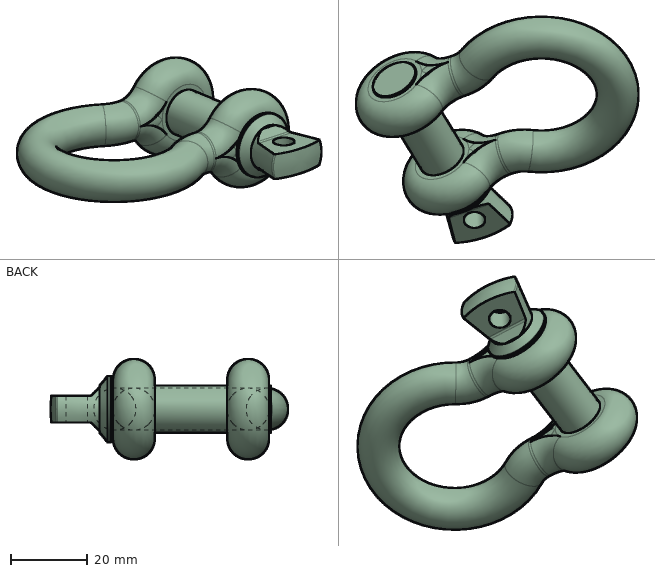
import cadquery as cq
import math

BAR_RADIUS = 5.5
BOW_OUTER_RADIUS = 25.55
EYE_OUTER_RADIUS = 13.24
OVERALL_LENGTH = 71.75
LEG_X = 15.0
LEG_END_Y = 16.9
FAIRING_RADIUS = 5.95

PIN_RADIUS = 6.25
PIN_LEFT_PROTRUSION = 0.4
PIN_EDGE_CHAMFER = 0.15
COLLAR_RADIUS = 8.75
COLLAR_START_X = 20.95
COLLAR_EDGE = 0.2
COLLAR_THICKNESS = 1.15

NECK_RADIUS = 6.25
NECK_X = 24.0
GRIP_RADIUS = 8.7
GRIP_CORNER_X = 35.3
GRIP_TIP_X = 36.95
GRIP_EDGE_FILLET = 0.35
GRIP_HALF_THICKNESS = 3.5
GRIP_FLAT_START_X = 26.25
RAMP_BLEND_RADIUS = 0.85
RELIEF_CLEARANCE = 0.7
GRIP_HOLE_X = 30.0
GRIP_HOLE_RADIUS = 2.8

BOW_RADIUS = BOW_OUTER_RADIUS - BAR_RADIUS
EYE_CENTRE_RADIUS = EYE_OUTER_RADIUS - BAR_RADIUS
EYE_Y = OVERALL_LENGTH - BOW_OUTER_RADIUS - EYE_OUTER_RADIUS
BEND_RADIUS = (LEG_X**2 + LEG_END_Y**2 - BOW_RADIUS**2) / (2 * (BOW_RADIUS - LEG_X))
BEND_X = LEG_X + BEND_RADIUS
BEND_ANGLE = math.atan2(LEG_END_Y, BEND_X)


def make_bow():
    """Round bar: leg, outward bend, bow, bend and leg in one tangent path."""
    join_x = BOW_RADIUS * math.cos(BEND_ANGLE)
    join_y = BOW_RADIUS * math.sin(BEND_ANGLE)
    middle_x = BEND_X - BEND_RADIUS * math.cos(BEND_ANGLE / 2)
    middle_y = LEG_END_Y - BEND_RADIUS * math.sin(BEND_ANGLE / 2)
    leg_start_y = EYE_Y - EYE_CENTRE_RADIUS
    path = (
        cq.Workplane("XY")
        .moveTo(-LEG_X, leg_start_y)
        .lineTo(-LEG_X, LEG_END_Y)
        .threePointArc((-middle_x, middle_y), (-join_x, join_y))
        .threePointArc((0, -BOW_RADIUS), (join_x, join_y))
        .threePointArc((middle_x, middle_y), (LEG_X, LEG_END_Y))
        .lineTo(LEG_X, leg_start_y)
    )
    start = cq.Workplane("XZ", origin=(-LEG_X, leg_start_y, 0))
    return start.circle(BAR_RADIUS).sweep(path)


def make_eye(x):
    """Flat-sided disc with a fully rounded rim."""
    return (
        cq.Workplane("XY", origin=(x, EYE_Y, 0))
        .moveTo(-BAR_RADIUS, 0)
        .lineTo(-BAR_RADIUS, EYE_CENTRE_RADIUS)
        .threePointArc((0, EYE_OUTER_RADIUS), (BAR_RADIUS, EYE_CENTRE_RADIUS))
        .lineTo(BAR_RADIUS, 0)
        .close()
        .revolve(360, (0, 0, 0), (1, 0, 0))
    )


def make_fairing(x, side):
    """Concave blend tangent to the eye rim and to the leg; side is +1 above, -1 below."""
    centre_z = BAR_RADIUS + FAIRING_RADIUS
    reach = math.sqrt((EYE_OUTER_RADIUS + FAIRING_RADIUS) ** 2 - centre_z**2)
    turn = math.degrees(math.atan2(reach, centre_z))
    return (
        cq.Workplane("XZ", origin=(x, EYE_Y - reach, 0))
        .moveTo(-BAR_RADIUS, 0)
        .threePointArc((0, side * BAR_RADIUS), (BAR_RADIUS, 0))
        .close()
        .revolve(turn, (0, side * centre_z, 0), (side, side * centre_z, 0))
    )


def make_grip_relief(side):
    """Material beside the grip: a 45 degree ramp at the neck, then a flat running past the tip."""
    flat_z = side * GRIP_HALF_THICKNESS
    top_z = side * (GRIP_RADIUS + RELIEF_CLEARANCE)
    neck_z = side * (GRIP_HALF_THICKNESS + GRIP_FLAT_START_X - NECK_X)
    end_x = GRIP_TIP_X + RELIEF_CLEARANCE
    half_width = GRIP_RADIUS + RELIEF_CLEARANCE
    relief = (
        cq.Workplane("XZ", origin=(0, EYE_Y, 0))
        .moveTo(NECK_X, top_z)
        .lineTo(NECK_X, neck_z)
        .lineTo(GRIP_FLAT_START_X, flat_z)
        .lineTo(end_x, flat_z)
        .lineTo(end_x, top_z)
        .close()
        .extrude(half_width, both=True)
    )
    ramp_corner = cq.selectors.NearestToPointSelector((GRIP_FLAT_START_X, EYE_Y, flat_z))
    return relief.edges(ramp_corner).fillet(RAMP_BLEND_RADIUS)


def make_pin():
    """Pin, collar and flared grip turned about the pin axis, then flattened and drilled."""
    left_x = -LEG_X - BAR_RADIUS - PIN_LEFT_PROTRUSION
    collar_end_x = COLLAR_START_X + COLLAR_THICKNESS
    collar_edge_radius = COLLAR_RADIUS - COLLAR_EDGE
    dome_rise = GRIP_TIP_X - GRIP_CORNER_X
    dome_radius = (GRIP_RADIUS**2 + dome_rise**2) / (2 * dome_rise)
    dome_middle_radius = GRIP_RADIUS / 2
    dome_middle_x = GRIP_TIP_X - dome_radius + math.sqrt(dome_radius**2 - dome_middle_radius**2)
    grip_corner = cq.selectors.NearestToPointSelector((GRIP_CORNER_X, EYE_Y, 0))
    turned = (
        cq.Workplane("XY", origin=(0, EYE_Y, 0))
        .moveTo(left_x, 0)
        .lineTo(left_x, PIN_RADIUS - PIN_EDGE_CHAMFER)
        .lineTo(left_x + PIN_EDGE_CHAMFER, PIN_RADIUS)
        .lineTo(COLLAR_START_X, PIN_RADIUS)
        .lineTo(COLLAR_START_X, collar_edge_radius)
        .lineTo(COLLAR_START_X + COLLAR_EDGE, COLLAR_RADIUS)
        .lineTo(collar_end_x - COLLAR_EDGE, COLLAR_RADIUS)
        .lineTo(collar_end_x, collar_edge_radius)
        .lineTo(NECK_X, NECK_RADIUS)
        .lineTo(GRIP_CORNER_X, GRIP_RADIUS)
        .threePointArc((dome_middle_x, dome_middle_radius), (GRIP_TIP_X, 0))
        .close()
        .revolve(360, (0, 0, 0), (1, 0, 0))
        .edges(grip_corner)
        .fillet(GRIP_EDGE_FILLET)
    )
    for side in (1, -1):
        turned = turned.cut(make_grip_relief(side))
    hole = (
        cq.Workplane("XY", origin=(GRIP_HOLE_X, EYE_Y, 0))
        .circle(GRIP_HOLE_RADIUS)
        .extrude(GRIP_HALF_THICKNESS, both=True)
    )
    return turned.cut(hole)


shackle = make_bow()
for leg_x in (-LEG_X, LEG_X):
    shackle = shackle.union(make_eye(leg_x))
    for side in (1, -1):
        shackle = shackle.union(make_fairing(leg_x, side))

result = shackle.union(make_pin())